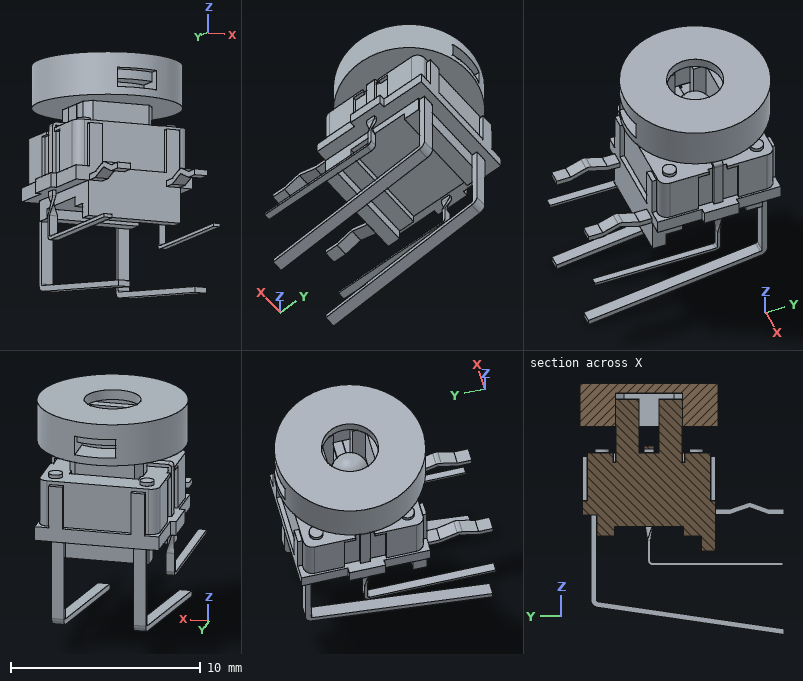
import cadquery as cq
import math

SIDES = (-1, 1)

overall_height = 13.3
flange_bottom = 6.32
flange_top = flange_bottom + 0.77
case_top = 9.63

knob_radius = 4.0
knob_height = 2.3
knob_bottom = overall_height - knob_height
light_hole_radius = 1.5
socket_ceiling = overall_height - 0.55
window_width = 2.23
window_bottom = knob_bottom + 0.43
window_top = window_bottom + 1.04
window_step = 11.96
window_upper_radius = 3.5
window_lower_radius = 2.5

plunger_radius = 2.4
plunger_x = 3.99
plunger_y = 3.52
plunger_top = 12.45
pocket_x = 3.03
pocket_y = 2.49
lead_slot_width = 1.04

lamp_radius = 1.0
lamp_dome_center = knob_bottom + 0.03

case_width = 6.55
case_corner_radius = 1.0 / 2
side_recess_width = 2.29
side_recess_depth = 0.19
well_width = 3.76
well_bottom = case_top - 0.5
clip_top = case_top - 0.2
peg_radius = 0.37
peg_height = 0.2
peg_offset = 2.49

flange_x = 6.77
flange_y = 7.05
tab_span = 7.41
tab_width = 1.98

base_width = 5.33
base_front = -flange_y / 2
base_back = 2.77
base_bottom = 4.42
foot_bottom = 5.2
arch_bottom = 5.72
front_foot_depth = 0.77
arch_front = -1.81
arch_back = 1.81

clip_inner_x = 1.86
clip_width = 0.75

terminal_end = -7.14
inner_bend_radius = 0.1
contact_thickness = 0.32
contact_top = 6.65
contact_rise = 0.37
contact_ramp_start = -4.24
contact_peak = -5.32
contact_ramp_end = -6.35
leg_inner_x = 1.89
leg_width = 0.68
leg_thickness = 0.32
leg_slope = 8.3

lead_width = 0.53
lead_thickness = side_recess_depth
lead_top = case_top + 0.37
lead_outer_x = case_width / 2
lead_top_bend_radius = 0.2
lead_inner_end = 1.6
twist_top = 6.02
twist_bottom = 4.97
lead_foot_bottom = 3.65
lead_end = -7.1
left_foot_limits = (-3.39, -2.91)
right_foot_limits = (2.97, 3.35)


def block(x_range, y_range, z_range):
    """Box between two limits on each axis."""
    size = [abs(b - a) for a, b in (x_range, y_range, z_range)]
    corner = [min(limits) for limits in (x_range, y_range, z_range)]
    return cq.Workplane("XY").box(*size, centered=False).translate(tuple(corner))


def centered_block(x_size, y_size, z_range):
    """Box centred on the Z axis between two levels."""
    return block((-x_size / 2, x_size / 2), (-y_size / 2, y_size / 2), z_range)


def post(radius, z_range, x=0, y=0):
    """Upright cylinder between two levels."""
    bottom, top = z_range
    return cq.Workplane("XY", origin=(x, y, bottom)).circle(radius).extrude(top - bottom)


def side_profile(points, x_limits):
    """Prism along X from an outline of (Y, Z) points."""
    start, end = sorted(x_limits)
    return cq.Workplane("YZ", origin=(start, 0, 0)).polyline(points).close().extrude(end - start)


def round_edge(solid, axis, point, radius):
    """Fillet the edge parallel to an axis that is nearest to a point."""
    picked = cq.selectors.NearestToPointSelector(point)
    return solid.edges(cq.selectors.ParallelDirSelector(axis) & picked).fillet(radius)


def plunger_post(levels):
    """Round post with four flats between two levels."""
    return post(plunger_radius, levels).intersect(centered_block(plunger_x, plunger_y, levels))


def make_knob():
    knob = post(knob_radius, (knob_bottom, overall_height))
    knob = knob.cut(plunger_post((knob_bottom, socket_ceiling)))
    knob = knob.cut(post(light_hole_radius, (socket_ceiling, overall_height)))
    windows = centered_block(window_width, 2 * knob_radius, (window_bottom, window_top))
    windows = windows.cut(post(window_lower_radius, (window_bottom, window_step)))
    windows = windows.cut(post(window_upper_radius, (window_step, window_top)))
    return knob.cut(windows)


def make_plunger():
    levels = (case_top, plunger_top)
    pocket = centered_block(pocket_x, pocket_y, levels)
    lead_slot = centered_block(plunger_x, lead_slot_width, levels)
    foot_levels = (well_bottom, case_top)
    foot = plunger_post(foot_levels).intersect(centered_block(well_width, plunger_y, foot_levels))
    return plunger_post(levels).cut(pocket).cut(lead_slot).union(foot)


def make_lamp():
    dome = cq.Workplane("XY", origin=(0, 0, lamp_dome_center)).sphere(lamp_radius)
    return post(lamp_radius, (case_top, lamp_dome_center)).union(dome)


def make_case():
    case = centered_block(case_width, case_width, (flange_bottom, case_top))
    case = case.edges("|Z").fillet(case_corner_radius)
    for side in SIDES:
        x_limits = (side * (case_width / 2 - side_recess_depth), side * case_width / 2)
        for width, top in ((side_recess_width, clip_top), (lead_slot_width, case_top)):
            case = case.cut(block(x_limits, (-width / 2, width / 2), (flange_top, top)))
    case = case.cut(centered_block(well_width, well_width, (well_bottom, case_top)))
    peg_levels = (case_top, case_top + peg_height)
    for x_side in SIDES:
        for y_side in SIDES:
            case = case.union(post(peg_radius, peg_levels, x_side * peg_offset, y_side * peg_offset))
    return case


def make_flange():
    levels = (flange_bottom, flange_top)
    flange = centered_block(flange_x, flange_y, levels)
    return flange.union(centered_block(tab_span, tab_width, levels))


def make_base():
    outline = [
        (base_front, flange_bottom),
        (base_front, base_bottom),
        (base_front + front_foot_depth, base_bottom),
        (base_front + front_foot_depth, foot_bottom),
        (arch_front, foot_bottom),
        (arch_front, arch_bottom),
        (arch_back, arch_bottom),
        (arch_back, foot_bottom),
        (base_back, foot_bottom),
        (base_back, flange_bottom),
    ]
    return side_profile(outline, (-base_width / 2, base_width / 2))


def make_clip(x_side, y_side):
    """Upright strip on the front or back face of the case."""
    x_limits = (x_side * clip_inner_x, x_side * (clip_inner_x + clip_width))
    y_limits = (y_side * case_width / 2, y_side * flange_y / 2)
    return block(x_limits, y_limits, (flange_bottom, clip_top))


def make_contact(x_side):
    """Front terminal with a hump, continuing the clip."""
    upper = [
        (base_front, contact_top),
        (contact_ramp_start, contact_top),
        (contact_peak, contact_top + contact_rise),
        (contact_ramp_end, contact_top),
        (terminal_end, contact_top),
    ]
    lower = [(y, z - contact_thickness) for y, z in reversed(upper)]
    x_limits = (x_side * clip_inner_x, x_side * (clip_inner_x + clip_width))
    contact = side_profile(upper + lower, x_limits)
    peak = (x_side * (clip_inner_x + clip_width / 2), contact_peak, contact_top + contact_rise)
    return round_edge(contact, cq.Vector(1, 0, 0), peak, inner_bend_radius + contact_thickness)


def make_leg(x_side):
    """Long rear leg bent forward and slightly downward."""
    slope = math.tan(math.radians(leg_slope))
    back = base_back + leg_thickness
    end_height = leg_thickness / math.cos(math.radians(leg_slope))
    outer_corner_z = (back - terminal_end) * slope
    inner_corner_z = end_height + (base_back - terminal_end) * slope
    outline = [
        (base_back, flange_bottom),
        (back, flange_bottom),
        (back, outer_corner_z),
        (terminal_end, 0),
        (terminal_end, end_height),
        (base_back, inner_corner_z),
    ]
    inner_x = x_side * leg_inner_x
    outer_x = inner_x + x_side * leg_width
    middle_x = (inner_x + outer_x) / 2
    leg = side_profile(outline, (inner_x, outer_x))
    along_x = cq.Vector(1, 0, 0)
    leg = round_edge(leg, along_x, (middle_x, base_back, inner_corner_z), inner_bend_radius)
    outer_bend_radius = inner_bend_radius + leg_thickness
    return round_edge(leg, along_x, (middle_x, back, outer_corner_z), outer_bend_radius)


def make_twist(lower_ring, upper_ring):
    """Solid between two four-cornered rings whose corners are joined in order."""
    rings = (lower_ring, upper_ring)
    faces = [cq.Face.makeFromWires(cq.Wire.makePolygon(ring, close=True)) for ring in rings]
    for i in range(len(lower_ring)):
        lower_edge, upper_edge = [cq.Edge.makeLine(ring[i - 1], ring[i]) for ring in rings]
        faces.append(cq.Face.makeRuledSurface(lower_edge, upper_edge))
    return cq.Workplane(cq.Solid.makeSolid(cq.Shell.makeShell(faces)))


def make_lead(x_side, foot_limits):
    """Lamp lead: over the case, down its side, a quarter twist, then forward."""
    outer_x = x_side * lead_outer_x
    inner_x = x_side * (lead_outer_x - lead_thickness)
    half_width = lead_width / 2
    half_thickness = lead_thickness / 2
    y_limits = (-half_width, half_width)

    upper = block((x_side * lead_inner_end, outer_x), y_limits, (lead_top - lead_thickness, lead_top))
    upper = upper.union(block((inner_x, outer_x), y_limits, (twist_top, lead_top)))
    upper = round_edge(upper, cq.Vector(0, 1, 0), (outer_x, 0, lead_top), lead_top_bend_radius)

    left, right = foot_limits
    top_left, top_right = sorted((outer_x, inner_x))
    upper_ring = [
        cq.Vector(top_left, -half_width, twist_top),
        cq.Vector(top_right, -half_width, twist_top),
        cq.Vector(top_right, half_width, twist_top),
        cq.Vector(top_left, half_width, twist_top),
    ]
    lower_ring = [
        cq.Vector(left, half_thickness, twist_bottom),
        cq.Vector(left, -half_thickness, twist_bottom),
        cq.Vector(right, -half_thickness, twist_bottom),
        cq.Vector(right, half_thickness, twist_bottom),
    ]
    twist = make_twist(lower_ring, upper_ring)

    inner_corner_z = lead_foot_bottom + lead_thickness
    outline = [
        (half_thickness, twist_bottom),
        (half_thickness, lead_foot_bottom),
        (lead_end, lead_foot_bottom),
        (lead_end, inner_corner_z),
        (-half_thickness, inner_corner_z),
        (-half_thickness, twist_bottom),
    ]
    foot = side_profile(outline, foot_limits)
    middle_x = (left + right) / 2
    along_x = cq.Vector(1, 0, 0)
    foot = round_edge(foot, along_x, (middle_x, -half_thickness, inner_corner_z), inner_bend_radius)
    outer_bend_radius = inner_bend_radius + lead_thickness
    foot = round_edge(foot, along_x, (middle_x, half_thickness, lead_foot_bottom), outer_bend_radius)
    return upper.union(twist).union(foot)


def make_switch():
    switch = make_case().union(make_flange()).union(make_base())
    switch = switch.union(make_plunger()).union(make_lamp())
    for x_side, foot_limits in zip(SIDES, (left_foot_limits, right_foot_limits)):
        for y_side in SIDES:
            switch = switch.union(make_clip(x_side, y_side))
        switch = switch.union(make_contact(x_side))
        switch = switch.union(make_leg(x_side))
        switch = switch.union(make_lead(x_side, foot_limits))
    return switch


knob = make_knob().solids()
switch = make_switch().solids()

result = cq.Compound.makeCompound([knob.val(), switch.val()])